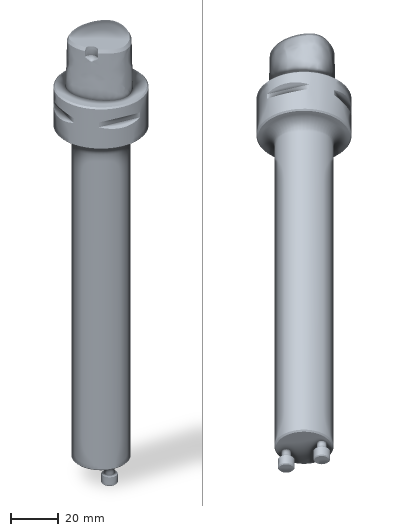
import cadquery as cq
import math

total_height = 212.0
flange_top = 188.0
flange_bottom = 168.0
bar_bottom = 8.5
screw_head_height = 4.5

flange_radius = 40.0 / 2
flange_chamfer = 0.6
bar_radius = 25.0 / 2
bar_chamfer = 0.6
neck_fillet = 4.7

shank_base_radius = 14.2
shank_taper = 1 / 20
lobe_height = 0.8
shank_chamfer_height = 1.5
shank_chamfer_inset = 0.8
outline_points = 36

notch_radius = 3.0
notch_center_y = -13.1
notch_depth = 4.2
drill_tip_angle = 118

groove_count = 4
groove_first_angle = 45
groove_height = 180.0
groove_floor_distance = 17.5
groove_floor_width = 2.3
groove_side_angle = 30

screw_offset = 5.7
screw_shank_radius = 4.0 / 2
screw_head_radius = 7.0 / 2
screw_head_chamfer = 0.5


def lobed_wire(mean_radius, height):
    """Closed outline of constant width with one lobe pointing to +Y."""
    points = []
    for i in range(outline_points):
        angle = 2 * math.pi * i / outline_points
        lobe_angle = 3 * (angle - math.pi / 2)
        distance = mean_radius + lobe_height * math.cos(lobe_angle)
        slope = -3 * lobe_height * math.sin(lobe_angle)
        x = distance * math.cos(angle) - slope * math.sin(angle)
        y = distance * math.sin(angle) + slope * math.cos(angle)
        points.append(cq.Vector(x, y, height))
    return cq.Wire.assembleEdges([cq.Edge.makeSpline(points, periodic=True)])


def make_body():
    """Flange and bar, joined by a concave neck."""
    arc_offset = neck_fillet * (1 - math.sqrt(0.5))
    return (
        cq.Workplane("XZ")
        .moveTo(0, bar_bottom)
        .lineTo(bar_radius - bar_chamfer, bar_bottom)
        .lineTo(bar_radius, bar_bottom + bar_chamfer)
        .lineTo(bar_radius, flange_bottom - neck_fillet)
        .threePointArc(
            (bar_radius + arc_offset, flange_bottom - arc_offset),
            (bar_radius + neck_fillet, flange_bottom),
        )
        .lineTo(flange_radius - flange_chamfer, flange_bottom)
        .lineTo(flange_radius, flange_bottom + flange_chamfer)
        .lineTo(flange_radius, flange_top - flange_chamfer)
        .lineTo(flange_radius - flange_chamfer, flange_top)
        .lineTo(0, flange_top)
        .close()
        .revolve(360, (0, 0), (0, 1))
    )


def make_shank():
    """Tapered lobed shank with a chamfered end."""
    chamfer_start = total_height - shank_chamfer_height
    end_radius = shank_base_radius - shank_taper / 2 * (chamfer_start - flange_top)
    base = lobed_wire(shank_base_radius, flange_top)
    chamfer_base = lobed_wire(end_radius, chamfer_start)
    tip = lobed_wire(end_radius - shank_chamfer_inset, total_height)
    taper = cq.Solid.makeLoft([base, chamfer_base], True)
    chamfer = cq.Solid.makeLoft([chamfer_base, tip], True)
    return cq.Workplane(taper).union(cq.Workplane(chamfer))


def make_notch():
    """Drill-shaped cutter, parallel to the axis, with a conical tip."""
    floor = total_height - notch_depth
    tip_depth = notch_radius / math.tan(math.radians(drill_tip_angle / 2))
    return (
        cq.Workplane("XZ")
        .polyline([
            (0, total_height),
            (notch_radius, total_height),
            (notch_radius, floor),
            (0, floor - tip_depth),
        ])
        .close()
        .revolve(360, (0, 0), (0, 1))
        .translate((0, notch_center_y, 0))
    )


def make_groove():
    """Straight flared groove cutter on the +X side of the flange."""
    half_floor = groove_floor_width / 2
    depth = flange_radius - groove_floor_distance
    half_mouth = half_floor + depth * math.tan(math.radians(groove_side_angle))
    return (
        cq.Workplane("XZ")
        .polyline([
            (groove_floor_distance, groove_height - half_floor),
            (flange_radius, groove_height - half_mouth),
            (flange_radius, groove_height + half_mouth),
            (groove_floor_distance, groove_height + half_floor),
        ])
        .close()
        .extrude(flange_radius, both=True)
    )


def make_screw(x, y):
    """Cap screw with its shank ending on the bar's lower face."""
    head = (
        cq.Workplane("XY")
        .circle(screw_head_radius)
        .extrude(screw_head_height)
        .faces("<Z")
        .chamfer(screw_head_chamfer)
    )
    shank = cq.Workplane("XY").circle(screw_shank_radius).extrude(bar_bottom)
    return head.union(shank).translate((x, y, 0))


result = make_body().union(make_shank()).cut(make_notch())

for index in range(groove_count):
    groove_angle = groove_first_angle + index * 360 / groove_count
    result = result.cut(make_groove().rotate((0, 0, 0), (0, 0, 1), groove_angle))

for side in (-1, 1):
    result = result.union(make_screw(side * screw_offset, -side * screw_offset))